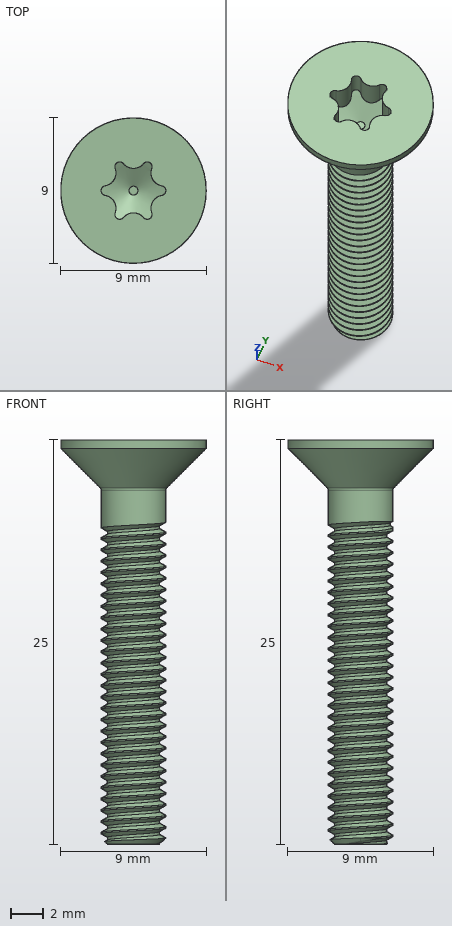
import cadquery as cq
import math

length = 25.0
head_diameter = 9.0
shank_diameter = 4.0
rim_height = 0.52
cone_half_angle = 45.0
neck_fillet = 0.22
tip_chamfer = 0.4

pitch = 0.7
crest_flat = pitch / 8
root_flat = pitch / 4
flank_angle = 30.0
groove_clearance = 0.05
thread_top_depth = 5.35
thread_top_angle = 24.0
runout_angle = 120.0

lobe_count = 6
socket_tip_radius = 2.0
socket_waist_radius = 1.38
lobe_radius = 0.3
socket_wall_depth = 1.62
socket_floor_slope = 30.0
socket_flat_radius = 0.28

head_radius = head_diameter / 2
shank_radius = shank_diameter / 2
mouth_flat = pitch - crest_flat
flank_slope = math.tan(math.radians(flank_angle))
thread_depth = (mouth_flat - root_flat) / 2 / flank_slope


def polar(radius, degrees):
    """Point in the XY plane at a radius and a direction."""
    angle = math.radians(degrees)
    return (radius * math.cos(angle), radius * math.sin(angle))


def screw_blank():
    """Head, conical countersink and chamfered shank, with a fillet at the neck."""
    cone_height = (head_radius - shank_radius) / math.tan(math.radians(cone_half_angle))
    cone_bottom = -rim_height - cone_height
    fillet_reach = neck_fillet * math.tan(math.radians(cone_half_angle / 2))
    fillet_start_x, fillet_start_z = polar(fillet_reach, 90 - cone_half_angle)
    fillet_mid_x, fillet_mid_z = polar(neck_fillet, 180 - cone_half_angle / 2)
    fillet_centre_x = shank_radius + neck_fillet
    fillet_centre_z = cone_bottom - fillet_reach
    outline = (
        cq.Workplane("XZ")
        .moveTo(0, 0)
        .lineTo(head_radius, 0)
        .lineTo(head_radius, -rim_height)
        .lineTo(shank_radius + fillet_start_x, cone_bottom + fillet_start_z)
        .threePointArc(
            (fillet_centre_x + fillet_mid_x, fillet_centre_z + fillet_mid_z),
            (shank_radius, fillet_centre_z),
        )
        .lineTo(shank_radius, -length + tip_chamfer)
        .lineTo(shank_radius - tip_chamfer, -length)
        .lineTo(0, -length)
        .close()
    )
    return outline.revolve(360, (0, 0, 0), (0, 1, 0))


def groove_cutter(helix, start_z):
    """Sweep the groove profile along a helix that starts on the +X side at start_z."""
    root_radius = shank_radius - thread_depth
    outer_radius = shank_radius + groove_clearance
    half_outer = mouth_flat / 2 + groove_clearance * flank_slope
    profile = cq.Workplane("XZ").polyline([
        (root_radius, start_z - root_flat / 2),
        (outer_radius, start_z - half_outer),
        (outer_radius, start_z + half_outer),
        (root_radius, start_z + root_flat / 2),
    ]).close()
    path = cq.Workplane(helix.translate(cq.Vector(0, 0, start_z)))
    cutter = profile.sweep(path, isFrenet=True)
    return cutter.rotate((0, 0, 0), (0, 0, 1), thread_top_angle)


def thread_groove():
    """Full-depth groove from beyond the tip up to the start of the runout."""
    turns = math.ceil((length - thread_top_depth) / pitch)
    height = turns * pitch
    helix = cq.Wire.makeHelix(pitch, height, shank_radius)
    return groove_cutter(helix, -thread_top_depth - height)


def thread_runout():
    """Part turn of groove that widens in radius until it leaves the shank."""
    height = pitch * runout_angle / 360
    cone_angle = math.degrees(math.atan(thread_depth / height))
    slant = math.hypot(height, thread_depth)
    helix = cq.Wire.makeHelix(slant * 360 / runout_angle, slant, shank_radius, angle=cone_angle)
    return groove_cutter(helix, -thread_top_depth)


def socket():
    """Six-lobe prism limited below by a cone with a small flat end."""
    half_step = 180 / lobe_count
    lobe_centre = socket_tip_radius - lobe_radius
    cos_step = math.cos(math.radians(half_step))
    waist_arc_radius = (
        (lobe_centre**2 + socket_waist_radius**2 - lobe_radius**2
         - 2 * lobe_centre * socket_waist_radius * cos_step)
        / (2 * (lobe_radius - socket_waist_radius + lobe_centre * cos_step))
    )
    waist_centre = polar(socket_waist_radius + waist_arc_radius, half_step)
    share = lobe_radius / (lobe_radius + waist_arc_radius)
    tangent_x = lobe_centre + share * (waist_centre[0] - lobe_centre)
    tangent_y = share * waist_centre[1]
    tangent_radius = math.hypot(tangent_x, tangent_y)
    tangent_angle = math.degrees(math.atan2(tangent_y, tangent_x))

    floor_depth = socket_wall_depth + (
        (socket_tip_radius - socket_flat_radius) * math.tan(math.radians(socket_floor_slope))
    )
    outline = cq.Workplane("XY").moveTo(*polar(tangent_radius, -tangent_angle))
    for lobe in range(lobe_count):
        direction = lobe * 2 * half_step
        next_direction = direction + 2 * half_step
        outline = outline.threePointArc(
            polar(socket_tip_radius, direction),
            polar(tangent_radius, direction + tangent_angle),
        ).threePointArc(
            polar(socket_waist_radius, direction + half_step),
            polar(tangent_radius, next_direction - tangent_angle),
        )
    prism = outline.close().extrude(-floor_depth)
    envelope = (
        cq.Workplane("XZ")
        .polyline([
            (0, 0),
            (socket_tip_radius, 0),
            (socket_tip_radius, -socket_wall_depth),
            (socket_flat_radius, -floor_depth),
            (0, -floor_depth),
        ])
        .close()
        .revolve(360, (0, 0, 0), (0, 1, 0))
    )
    return prism.intersect(envelope)


result = screw_blank().cut(socket()).cut(thread_groove()).cut(thread_runout())